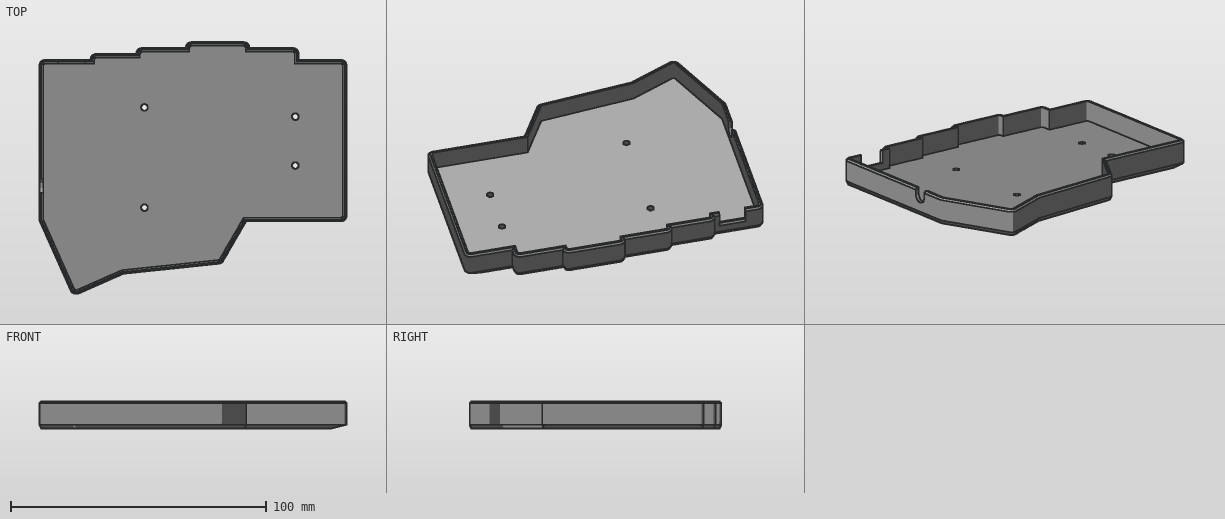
import cadquery as cq

length_x = 120.3
length_y = 98.6
height = 10.6

edge_radius = 2.4
rim_chamfer = 0.75
wall = 2 * rim_chamfer
floor_thickness = 2.5

base_chamfer_inset = rim_chamfer
base_chamfer_height = 2 * base_chamfer_inset
bevel_length = 6.0

left = edge_radius
right = length_x - edge_radius
back = length_y - edge_radius
front = edge_radius
side_front = 30.8
back_rise = 7.0
row_step = back_rise / 3
back_row_1 = back - 3 * row_step
back_row_2 = back - 2 * row_step
back_row_3 = back - row_step
step_1_x = 22.4
step_2_x = 40.3
step_3_x = 59.7
step_4_x = 79.9
step_5_x = 99.1
core_outline = [
    (left, 29.4),
    (14.4, front),
    (32.1, 10.2),
    (69.9, 14.2),
    (79.5, side_front),
    (right, side_front),
    (right, back_row_1),
    (step_5_x, back_row_1),
    (step_5_x, back_row_3),
    (step_4_x, back_row_3),
    (step_4_x, back),
    (step_3_x, back),
    (step_3_x, back_row_3),
    (step_2_x, back_row_3),
    (step_2_x, back_row_2),
    (step_1_x, back_row_2),
    (step_1_x, back_row_1),
    (left, back_row_1),
]

hole_diameter = 2.5
hole_centres = [(41.1, 73.0), (41.1, 33.8), (100.2, 69.4), (100.2, 50.3)]

opening_bottom = 5.3
notch_width = 5.4
notch_y = 42.3
gap_left = 7.5
gap_width = 10.5


def outline(distance, z):
    """Core outline grown by a distance, with rounded outer corners, at a height."""
    plane = cq.Workplane("XY", origin=(0, 0, z))
    return plane.polyline(core_outline).close().offset2D(distance, "arc")


def open_tray(rim_height):
    """Hollow tray with its outer bottom and rim edges chamfered."""
    body = outline(edge_radius, 0).extrude(rim_height)
    body = body.faces("<Z").chamfer(base_chamfer_height, base_chamfer_inset)
    body = body.faces(">Z").chamfer(rim_chamfer)
    cavity = outline(edge_radius - wall, floor_thickness).extrude(rim_height)
    return body.cut(cavity)


def gap_zone():
    """Column of space over the stretch of the back wall whose rim is lowered."""
    corner = (gap_left, back_row_1, opening_bottom - 2 * rim_chamfer)
    return cq.Workplane("XY", origin=corner).box(gap_width, 2 * edge_radius, height, centered=False)


def side_notch():
    """Round-bottomed notch through the -X wall."""
    radius = notch_width / 2
    centre_z = opening_bottom + radius
    profile = (
        cq.Workplane("YZ")
        .moveTo(notch_y - radius, height)
        .lineTo(notch_y - radius, centre_z)
        .threePointArc((notch_y, opening_bottom), (notch_y + radius, centre_z))
        .lineTo(notch_y + radius, height)
        .close()
    )
    return profile.extrude(edge_radius)


def side_bevel():
    """Shallow wedge under the +X side."""
    corners = [(length_x - bevel_length, 0), (length_x, base_chamfer_height), (length_x, 0)]
    return cq.Workplane("XZ").polyline(corners).close().extrude(-length_y)


def floor_holes():
    """Round holes through the floor."""
    return cq.Workplane("XY").pushPoints(hole_centres).circle(hole_diameter / 2).extrude(height)


lowered_rim = open_tray(opening_bottom).intersect(gap_zone())
result = open_tray(height).cut(gap_zone()).union(lowered_rim)
result = result.cut(side_notch()).cut(side_bevel()).cut(floor_holes())